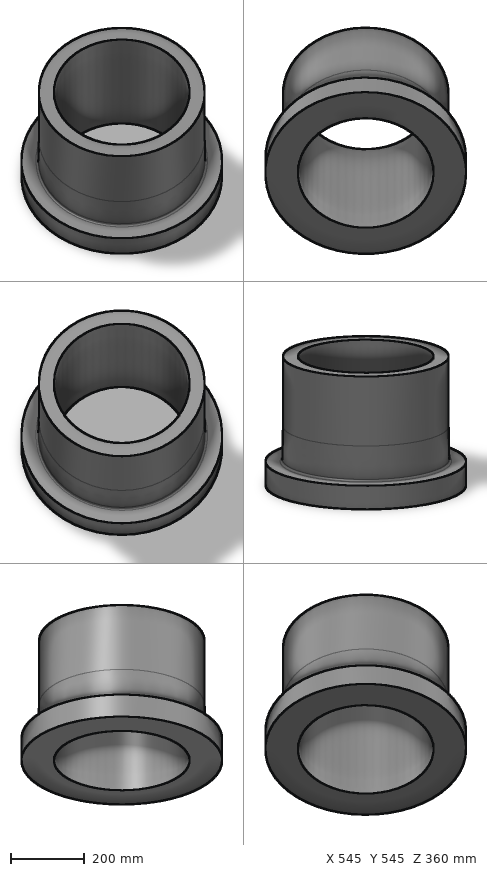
import cadquery as cq

flange_diameter = 545.0
flange_height = 66.5

total_height = 360.0
tube_diameter = 450.0
bore_diameter = 368.0

taper_top = 165.5
taper_base_diameter = 453.5
foot_fillet = 6.0

flange_radius = flange_diameter / 2
tube_radius = tube_diameter / 2
bore_radius = bore_diameter / 2
taper_base_radius = taper_base_diameter / 2
fillet_outer_radius = taper_base_radius + foot_fillet
fillet_top = flange_height + foot_fillet

profile = (
    cq.Workplane("XZ")
    .moveTo(bore_radius, 0)
    .lineTo(flange_radius, 0)
    .lineTo(flange_radius, flange_height)
    .lineTo(fillet_outer_radius, flange_height)
    .tangentArcPoint((taper_base_radius, fillet_top), relative=False)
    .lineTo(tube_radius, taper_top)
    .lineTo(tube_radius, total_height)
    .lineTo(bore_radius, total_height)
    .close()
)

result = profile.revolve(360, (0, 0, 0), (0, 1, 0))